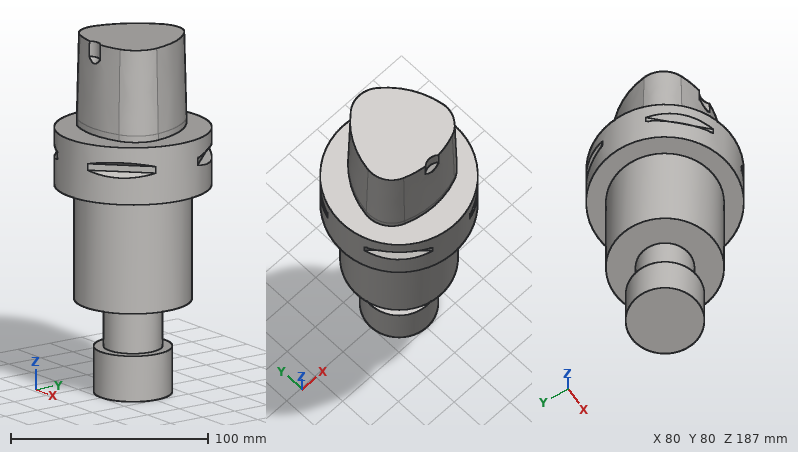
import cadquery as cq
import math

collar_diameter = 80.0
collar_height = 30.0
body_diameter = 60.0
body_height = 60.0
neck_diameter = 30.0
neck_height = 25.0
head_diameter = 40.0
head_height = 24.0

shank_height = 48.0
shank_base_height = 3.5
shank_taper_ratio = 1 / 20
lobe_count = 3
first_flank_angle = -90.0
lobe_reach = 29.8
flank_reach = 25.15
flank_radius = 49.0

groove_count = 4
groove_first_angle = 45.0
groove_depth = 4.0
groove_floor_width = 3.4
groove_wall_angle = 30.0
groove_center_z = -12.0

notch_radius = 7.0
notch_floor_y = -22.1
notch_depth = 8.0
notch_cone_angle = 52.0


def polar(radius, angle):
    angle = math.radians(angle)
    return (radius * math.cos(angle), radius * math.sin(angle))


def shank_outline(z):
    """Closed outline of three flank arcs, tangent to three smaller lobe arcs."""
    pitch_angle = 360 / lobe_count
    flank_offset = flank_radius - flank_reach
    lobe_radius = (
        flank_radius**2 - flank_offset**2 - lobe_reach**2 - flank_offset * lobe_reach
    ) / (2 * flank_radius - 2 * lobe_reach - flank_offset)
    lobe_offset = lobe_reach - lobe_radius

    flank_half_angle = math.degrees(
        math.asin(
            lobe_offset * math.sin(math.radians(pitch_angle)) / (flank_radius - lobe_radius)
        )
    )
    tangent_x, tangent_y = polar(flank_radius, flank_half_angle)
    tangent_x -= flank_offset
    tangent_reach = math.hypot(tangent_x, tangent_y)
    tangent_angle = math.degrees(math.atan2(tangent_y, tangent_x))

    outline = cq.Workplane("XY", origin=(0, 0, z))
    outline = outline.moveTo(*polar(tangent_reach, first_flank_angle - tangent_angle))
    for flank_index in range(lobe_count):
        flank_angle = first_flank_angle + flank_index * pitch_angle
        lobe_angle = flank_angle + pitch_angle / 2
        next_flank_angle = flank_angle + pitch_angle
        outline = outline.threePointArc(
            polar(flank_reach, flank_angle),
            polar(tangent_reach, flank_angle + tangent_angle),
        )
        outline = outline.threePointArc(
            polar(lobe_reach, lobe_angle),
            polar(tangent_reach, next_flank_angle - tangent_angle),
        )
    return outline.close()


def make_shank():
    taper_angle = math.degrees(math.atan(shank_taper_ratio / 2))
    base = shank_outline(0).extrude(shank_base_height)
    taper = shank_outline(shank_base_height).extrude(
        shank_height - shank_base_height, taper=taper_angle
    )
    return base.union(taper, clean=False)


def make_turned_body():
    """Collar, body, neck and head stacked downwards from Z = 0."""
    body = None
    top_z = 0
    for diameter, height in (
        (collar_diameter, collar_height),
        (body_diameter, body_height),
        (neck_diameter, neck_height),
        (head_diameter, head_height),
    ):
        section = cq.Workplane("XY", origin=(0, 0, top_z)).circle(diameter / 2).extrude(-height)
        body = section if body is None else body.union(section)
        top_z -= height
    return body


def make_groove(angle):
    """Straight groove across the collar rim, flaring outwards from a flat floor."""
    floor_x = collar_diameter / 2 - groove_depth
    outer_x = collar_diameter / 2 + groove_depth
    flare = (outer_x - floor_x) * math.tan(math.radians(groove_wall_angle))
    floor_half = groove_floor_width / 2
    return (
        cq.Workplane("XZ", origin=(0, 0, groove_center_z))
        .moveTo(floor_x, -floor_half)
        .lineTo(outer_x, -floor_half - flare)
        .lineTo(outer_x, floor_half + flare)
        .lineTo(floor_x, floor_half)
        .close()
        .extrude(collar_diameter / 2, both=True)
        .rotate((0, 0, 0), (0, 0, 1), angle)
    )


def make_notch():
    """Upright round cutter with a conical tip, centred just outside the flank."""
    cone_height = notch_radius * math.tan(math.radians(notch_cone_angle))
    return (
        cq.Workplane("XZ", origin=(0, notch_floor_y - notch_radius, shank_height))
        .lineTo(notch_radius, 0)
        .lineTo(notch_radius, -notch_depth)
        .lineTo(0, -notch_depth - cone_height)
        .close()
        .revolve(360, (0, 0, 0), (0, 1, 0))
    )


result = make_turned_body().union(make_shank(), clean=False)
for groove_index in range(groove_count):
    groove_angle = groove_first_angle + groove_index * 360 / groove_count
    result = result.cut(make_groove(groove_angle), clean=False)
result = result.cut(make_notch(), clean=False)